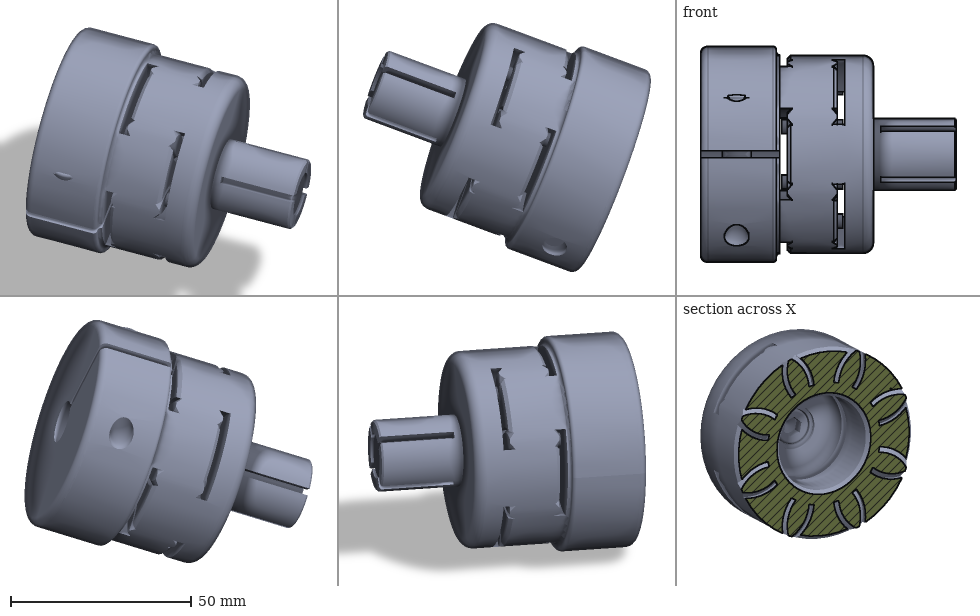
import cadquery as cq
import math


CLAMP_HUB_END = 21.0
CLAMP_STEP_END = 22.0
SPIDER_START = 24.0
SPIDER_END = 38.0
FLANGE_START = 40.0
FLANGE_END = 48.0
SHAFT_SLOT_START = 50.0
SHAFT_END = 71.0

CLAMP_HUB_D = 60.0
CLAMP_FRONT_FILLET = 2.0
CLAMP_BACK_FILLET = 1.0
BORE_D = 12.0
SLIT_WIDTH = 2.0

CLAMP_SCREW_X = 10.0
CLAMP_SCREW_Y = -19.4
CLAMP_SCREW_D = 8.0
CLAMP_HEAD_D = 13.0
CLAMP_HEAD_TOP = 16.5
CLAMP_HEAD_HEIGHT = 8.0
CLAMP_HEAD_FILLET = 0.7
CLAMP_COUNTERBORE_D = 13.5
CLAMP_TAP_D = 6.8
CLAMP_SCREW_BOTTOM = -11.35

BODY_D = 55.0
JAW_INNER_D = 35.2
JAW_COUNT = 4
JAW_PITCH = 360 / JAW_COUNT
EDGE_CHAMFER = 1.0
LEG_COUNT = 2 * JAW_COUNT
LEG_CENTRE_R = 20.8
LEG_HALF_WIDTH = 4.25
LEG_FLANK_R = 12.5
LEG_CHAMFER = 1.4
SPIDER_BORE_D = 27.0
NUB_D = 4.0
NUB_HEIGHT = 1.5
NUB_CENTRE_R = 20.0

FLANGE_FILLET = 3.0
POCKET_FILLET = 2.0
POCKET_DEPTH = 2.5
POCKET_FLOOR = FLANGE_START + POCKET_DEPTH
SHAFT_D = 20.0
SHAFT_CHAMFER = 0.5
SHAFT_SLOT_WIDTH = 2.0
SHAFT_SLOT_COUNT = 4
SHAFT_SLOT_ANGLE = 45
SHAFT_CORE_D = 12.5
SHAFT_END_RECESS = 0.85

AXIS_HEAD_D = 10.0
AXIS_HEAD_RECESS_D = 12.5
AXIS_HEAD_RECESS_DEPTH = 1.0
AXIS_HEAD_START = POCKET_FLOOR + AXIS_HEAD_RECESS_DEPTH
AXIS_HEAD_HEIGHT = 6.0
AXIS_HEAD_FILLET = 0.7
AXIS_COUNTERBORE_D = 10.5
SOCKET_FLATS = 5.0
SOCKET_ANGLE = -20
SOCKET_DEPTH = 3.0
SOCKET_CONE_DEPTH = 1.4


def rod(start, end, diameter):
    return cq.Workplane("YZ", origin=(start, 0, 0)).circle(diameter / 2).extrude(end - start)


def tube(start, end, outer_d, inner_d):
    return rod(start, end, outer_d).cut(rod(start, end, inner_d))


def bar(start, end, reach, thickness):
    """A flat bar from the coupling axis out along +Y, used for the radial slots."""
    blank = cq.Workplane("XY").box(end - start, reach, thickness, centered=(False, False, True))
    return blank.translate((start, 0, 0))


def polar(shape, first_angle, count):
    """A list of copies of a shape spread evenly around the coupling axis."""
    return [shape.rotate((0, 0, 0), (1, 0, 0), first_angle + i * 360 / count) for i in range(count)]


def join(body, parts):
    for part in parts:
        body = body.union(part)
    return body


def leg_blank(start, end):
    """One lens-shaped spider leg along +Y, its ends running past the jaw ring."""
    half_length = math.sqrt(LEG_FLANK_R**2 - (LEG_FLANK_R - LEG_HALF_WIDTH) ** 2)
    return (
        cq.Workplane("YZ", origin=(start, 0, 0))
        .moveTo(LEG_CENTRE_R - half_length, 0)
        .threePointArc((LEG_CENTRE_R, LEG_HALF_WIDTH), (LEG_CENTRE_R + half_length, 0))
        .threePointArc((LEG_CENTRE_R, -LEG_HALF_WIDTH), (LEG_CENTRE_R - half_length, 0))
        .close()
        .extrude(end - start)
    )


def jaws(start, end, first_angle, tip):
    """The four jaws of one hub, with chamfered outer edges at their tips."""
    ring = rod(start, end, BODY_D).faces(tip).chamfer(EDGE_CHAMFER).cut(rod(start, end, JAW_INNER_D))
    half_pitch = math.radians(180 / LEG_COUNT)
    far = BODY_D * math.cos(half_pitch)
    half_span = BODY_D * math.sin(half_pitch)
    sector = (
        cq.Workplane("YZ", origin=(start, 0, 0))
        .polyline([(0, 0), (far, -half_span), (far, half_span)])
        .close()
        .extrude(end - start)
    )
    leg = leg_blank(start, end)
    jaw = ring.intersect(sector)
    for side in (-1, 1):
        jaw = jaw.cut(leg.rotate((0, 0, 0), (1, 0, 0), side * 180 / LEG_COUNT))
    return polar(jaw, first_angle, JAW_COUNT)


def spider():
    bore_edge_d = SPIDER_BORE_D + 2 * EDGE_CHAMFER
    ring = tube(SPIDER_START, SPIDER_END, JAW_INNER_D, SPIDER_BORE_D)
    bore_edges = ring.faces("<X or >X").edges(cq.selectors.RadiusNthSelector(0))
    ring = bore_edges.chamfer(EDGE_CHAMFER)
    leg = leg_blank(SPIDER_START, SPIDER_END).faces("<X or >X").edges().chamfer(LEG_CHAMFER)
    leg = leg.intersect(tube(SPIDER_START, SPIDER_END, BODY_D, bore_edge_d))
    middle = (SPIDER_START + SPIDER_END) / 2
    back_nub = rod(middle, SPIDER_END + NUB_HEIGHT, NUB_D).translate((0, NUB_CENTRE_R, 0))
    front_nub = rod(SPIDER_START - NUB_HEIGHT, middle, NUB_D).translate((0, NUB_CENTRE_R, 0))
    half_pitch = 180 / LEG_COUNT
    body = join(ring, polar(leg.union(back_nub), -half_pitch, LEG_COUNT // 2))
    return join(body, polar(leg.union(front_nub), half_pitch, LEG_COUNT // 2))


def clamp_hub():
    hub = rod(0, CLAMP_HUB_END, CLAMP_HUB_D)
    hub = hub.faces("<X").edges().fillet(CLAMP_FRONT_FILLET)
    hub = hub.faces(">X").edges().fillet(CLAMP_BACK_FILLET)
    step_r = BODY_D / 2
    step_height = CLAMP_STEP_END - CLAMP_HUB_END
    sweep = step_height * (1 - math.sqrt(0.5))
    step = (
        cq.Workplane("XY")
        .moveTo(CLAMP_HUB_END - step_height, 0)
        .lineTo(CLAMP_STEP_END, 0)
        .lineTo(CLAMP_STEP_END, step_r)
        .threePointArc(
            (CLAMP_HUB_END + sweep, step_r + sweep), (CLAMP_HUB_END, step_r + step_height)
        )
        .lineTo(CLAMP_HUB_END - step_height, step_r + step_height)
        .close()
        .revolve(360, (0, 0, 0), (1, 0, 0))
    )
    hub = hub.union(step)
    hub = hub.cut(rod(0, CLAMP_STEP_END, BORE_D))
    slit = bar(0, CLAMP_STEP_END, CLAMP_HUB_D, SLIT_WIDTH)
    return hub.cut(slit.rotate((0, 0, 0), (1, 0, 0), 180))


def upright(bottom, top, diameter):
    """A cylinder on the axis of the clamping screw."""
    return (
        cq.Workplane("XY", origin=(CLAMP_SCREW_X, CLAMP_SCREW_Y, bottom))
        .circle(diameter / 2)
        .extrude(top - bottom)
    )


def clamp_screw_on(hub):
    head_bottom = CLAMP_HEAD_TOP - CLAMP_HEAD_HEIGHT
    counterbore_top = CLAMP_HEAD_TOP - CLAMP_HEAD_FILLET
    hub = hub.cut(upright(head_bottom, counterbore_top, CLAMP_COUNTERBORE_D))
    hub = hub.cut(upright(-CLAMP_HUB_D / 2, CLAMP_SCREW_BOTTOM, CLAMP_TAP_D))
    head = upright(head_bottom, CLAMP_HEAD_TOP, CLAMP_HEAD_D).faces(">Z").edges().fillet(CLAMP_HEAD_FILLET)
    return hub.union(head).union(upright(CLAMP_SCREW_BOTTOM, head_bottom, CLAMP_SCREW_D))


def shaft_hub():
    flange = rod(FLANGE_START, FLANGE_END, BODY_D).faces(">X").edges().fillet(FLANGE_FILLET)
    pocket = rod(FLANGE_START, POCKET_FLOOR, SPIDER_BORE_D).faces(">X").edges().fillet(POCKET_FILLET)
    shaft = rod(POCKET_FLOOR, SHAFT_END, SHAFT_D).faces(">X").chamfer(SHAFT_CHAMFER)
    hub = flange.cut(pocket).union(shaft)
    hub = hub.cut(rod(POCKET_FLOOR, AXIS_HEAD_START, AXIS_HEAD_RECESS_D))
    hub = hub.cut(rod(AXIS_HEAD_START, AXIS_HEAD_START + AXIS_HEAD_HEIGHT, AXIS_COUNTERBORE_D))
    slot = bar(SHAFT_SLOT_START, SHAFT_END, SHAFT_D, SHAFT_SLOT_WIDTH)
    slot = slot.cut(rod(SHAFT_SLOT_START, SHAFT_END, SHAFT_CORE_D))
    for shaft_slot in polar(slot, SHAFT_SLOT_ANGLE, SHAFT_SLOT_COUNT):
        hub = hub.cut(shaft_slot)
    return hub.cut(rod(SHAFT_END - SHAFT_END_RECESS, SHAFT_END, SHAFT_CORE_D))


def axis_screw_head():
    head = rod(AXIS_HEAD_START, AXIS_HEAD_START + AXIS_HEAD_HEIGHT, AXIS_HEAD_D)
    head = head.faces("<X").edges().fillet(AXIS_HEAD_FILLET)
    corner_d = SOCKET_FLATS / math.cos(math.pi / 6)
    socket = cq.Workplane("YZ", origin=(AXIS_HEAD_START, 0, 0)).polygon(6, corner_d).extrude(SOCKET_DEPTH)
    socket = socket.rotate((0, 0, 0), (1, 0, 0), SOCKET_ANGLE)
    cone = cq.Workplane(
        obj=cq.Solid.makeCone(
            SOCKET_FLATS / 2, 0, SOCKET_CONE_DEPTH,
            cq.Vector(AXIS_HEAD_START + SOCKET_DEPTH, 0, 0), cq.Vector(1, 0, 0),
        )
    )
    return head.cut(socket).cut(cone)


result = clamp_screw_on(clamp_hub()).union(spider())
result = join(result, jaws(CLAMP_HUB_END, SPIDER_END, JAW_PITCH / 2, ">X"))
result = join(result, jaws(SPIDER_START, FLANGE_START, 0, "<X"))
result = result.union(shaft_hub()).union(axis_screw_head())